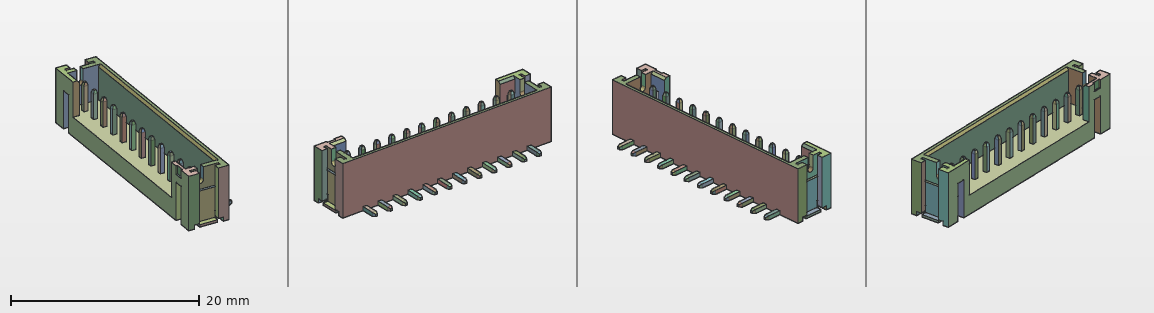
import cadquery as cq


length = 27.95
depth = 4.98
overall_depth = 7.0
height = 6.6

floor_z = 2.35
end_wall = 1.65
front_wall = 0.8
back_wall = 0.67
lead_in = 0.28
window_inset = 3.65

front_slot_width = 1.03
front_slot_height = 4.6
mark_height = 1.0
mark_depth = 0.2

post_width = 1.35
tab_slot_inset = 0.73
tab_slot_margin = 0.73
foot_notch_height = 0.5
end_groove_width = 0.75
end_groove_bottom = 4.7
end_groove_y = 2.05

tab_thickness = 0.3
tab_height = 4.0
tab_clearance = 0.08
shoulder_z = 1.1
foot_inset = 0.1

pin_count = 12
pin_row_length = 22.0
pin_width = 0.5
pin_tip_width = 0.28
pin_taper = 0.35
pin_y = 1.87
pin_top = 5.79
pin_tail = overall_depth - depth

left = -length / 2
tab_slot_inner = tab_slot_inset + tab_thickness
pin_pitch = pin_row_length / (pin_count - 1)
front_slot_inner = end_wall + front_slot_width
window_width = length - 2 * window_inset
cavity_width = length - 2 * end_wall


def block(x0, x1, y0, y1, z0, z1):
    """Axis-aligned box between two opposite corners."""
    return cq.Workplane("XY").box(x1 - x0, y1 - y0, z1 - z0, centered=False).translate((x0, y0, z0))


def on_right(shape):
    """Copy of a left-end shape at the right end."""
    return shape.mirror("YZ")


def make_cavity():
    """Open-topped cavity that widens towards the front and back at its rim."""
    front, back = front_wall, depth - back_wall
    return (
        cq.Workplane("YZ")
        .moveTo(front, floor_z)
        .lineTo(back, floor_z)
        .lineTo(back, height - lead_in)
        .lineTo(back + lead_in, height)
        .lineTo(front - lead_in, height)
        .lineTo(front, height - lead_in)
        .close()
        .extrude(cavity_width / 2, both=True)
    )


def make_end_cuts():
    """Everything removed from the left end of the housing."""
    post_gap = block(left, left + tab_slot_inner, post_width, depth - post_width, 0, height)
    tab_slot = block(
        left + tab_slot_inset, left + tab_slot_inner,
        tab_slot_margin, depth - tab_slot_margin, 0, height,
    )
    foot_notch = block(
        left, left + tab_slot_inner,
        tab_slot_margin, depth - tab_slot_margin, 0, foot_notch_height,
    )
    front_slot = block(left + end_wall, left + front_slot_inner, 0, front_wall, 0, front_slot_height)

    radius = end_groove_width / 2
    axis_z = end_groove_bottom + radius
    groove = (
        cq.Workplane("YZ", origin=(left, 0, 0))
        .moveTo(end_groove_y - radius, height)
        .lineTo(end_groove_y - radius, axis_z)
        .threePointArc((end_groove_y, end_groove_bottom), (end_groove_y + radius, axis_z))
        .lineTo(end_groove_y + radius, height)
        .close()
        .extrude(end_wall)
    )
    return post_gap.union(tab_slot).union(foot_notch).union(front_slot).union(groove)


def make_pin_leg(leg_length):
    """Square leg along +Z from the origin, with a tapered tip."""
    shank = leg_length - pin_taper
    leg = cq.Workplane("XY").rect(pin_width, pin_width).extrude(shank)
    tip = (
        cq.Workplane("XY", origin=(0, 0, shank))
        .rect(pin_width, pin_width)
        .workplane(offset=pin_taper)
        .rect(pin_tip_width, pin_tip_width)
        .loft()
    )
    return leg.union(tip)


def make_pin():
    """Bent pin at X = 0: upright contact and a tail along the underside."""
    upright = make_pin_leg(pin_top).translate((0, pin_y, 0))
    tail = (
        make_pin_leg(depth + pin_tail - pin_y)
        .rotate((0, 0, 0), (1, 0, 0), -90)
        .translate((0, pin_y, pin_width / 2))
    )
    return upright.union(tail)


def make_housing():
    """Housing with its pins, one solid."""
    body = block(left, -left, 0, depth, 0, height).cut(make_cavity())
    window = block(-window_width / 2, window_width / 2, 0, front_wall, floor_z, height)
    polarity_mark = block(
        -left - front_slot_inner, -left - end_wall,
        0, mark_depth, height - mark_height, height,
    )
    end_cuts = make_end_cuts()
    body = body.cut(window).cut(polarity_mark).cut(end_cuts).cut(on_right(end_cuts))

    pin = make_pin()
    for index in range(pin_count):
        body = body.union(pin.translate((index * pin_pitch - pin_row_length / 2, 0, 0)))
    return body


def make_tab():
    """Left solder tab: shouldered plate with a foot bent outwards."""
    plate_margin = tab_slot_margin + tab_clearance
    neck_front = post_width + tab_clearance
    neck_back = depth - post_width
    plate_outer = left + tab_slot_inset
    plate_inner = left + tab_slot_inner
    plate = block(plate_outer, plate_inner, plate_margin, depth - plate_margin, shoulder_z, tab_height)
    neck = block(plate_outer, plate_inner, neck_front, neck_back, 0, shoulder_z)
    foot = block(left + foot_inset, plate_outer, neck_front, neck_back, 0, tab_thickness)
    return plate.union(neck).union(foot)


housing = make_housing()
left_tab = make_tab()
right_tab = on_right(left_tab)

result = cq.Compound.makeCompound(
    [housing.solids().val(), left_tab.solids().val(), right_tab.solids().val()]
)